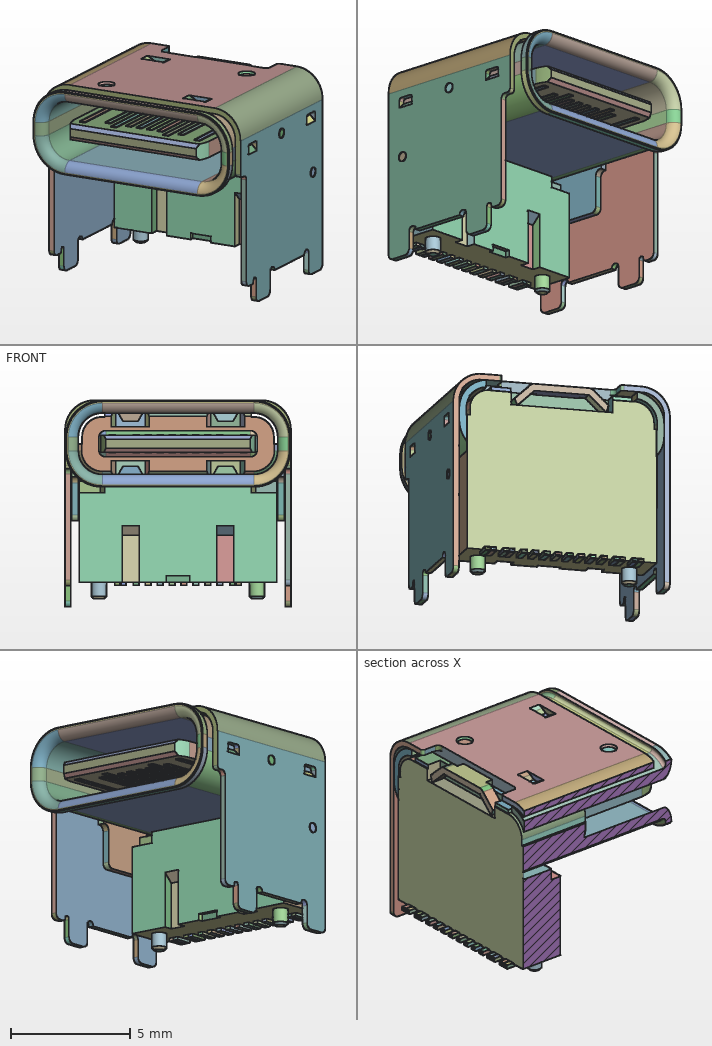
import math

import cadquery as cq


OVERLAP = 0.02
CUT_MARGIN = 1.0

SHELL_Z = 5.8
OPENING_WIDTH = 8.34
OPENING_HEIGHT = 2.56
STRAIGHT_SIDE = 0.58
SHELL_WALL = 0.3
TUBE_TOP = SHELL_Z + OPENING_HEIGHT / 2 + SHELL_WALL
TUBE_INNER_TOP = SHELL_Z + OPENING_HEIGHT / 2
TUBE_INNER_BOTTOM = SHELL_Z - OPENING_HEIGHT / 2
TUBE_BOTTOM = TUBE_INNER_BOTTOM - SHELL_WALL
TUBE_HALF_WIDTH = OPENING_WIDTH / 2 + SHELL_WALL
SHELL_REAR = 8.0
LIP_OFFSET = 0.53
LIP_THICKNESS = 0.33
LIP_ROLL = 0.43
LIP_EDGE = 0.04
LIP_BACK_FILLET = 0.14
EAR_FRONT, EAR_REAR = 4.5, 7.0
EAR_BOTTOM = 2.57
EAR_STEP_Z = 4.42
EAR_ROOT_FRONT = 4.2
EAR_RADIUS = 0.25

COVER_HALF_WIDTH = 9.47 / 2
COVER_TOP = 7.63
COVER_SHEET = 0.25
COVER_BEND = 1.25
COVER_FRONT, COVER_REAR = 0.95, 8.0
SIDE_FRONT = 1.45
STEP_Z = 4.75
LEG_BOTTOM = -1.03
SIDE_BOTTOM = -0.03
TOE_BOTTOM = -0.15
FRONT_LEG = (2.29, 3.5)
REAR_LEG_FRONT = 6.8
LEG_RADIUS = 0.25
RELIEF_RADIUS = 0.19

HOUSING_HALF_WIDTH = 4.14
HOUSING_FRONT = 6.0
HOUSING_REAR = 8.041
INSERT_FRONT = 4.6
INSERT_GAP = 0.15
INSERT_FULL_HALF_WIDTH = 3.07

TONGUE_TIP = 0.2
TONGUE_HALF_WIDTH = 3.24
TONGUE_HALF_HEIGHT = 0.35
TONGUE_TIP_HALF_WIDTH = 3.02
TONGUE_TIP_HALF_HEIGHT = 0.18
TONGUE_BEVEL_LENGTH = 0.16
TONGUE_CORNER_LENGTH = 0.7
TONGUE_BASE_HALF_WIDTH = 3.32
TONGUE_BASE_HALF_HEIGHT = 0.55
TONGUE_BASE_FRONT = 4.0

CONTACT_WIDTH = 0.25
PIN_END = 8.41
PIN_BOTTOM, PIN_TOP = -0.13, 0.05

CUTOUT_HALF_WIDTH = 2.59
CUTOUT_FRONT = 7.12
CUTOUT_RADIUS = 0.2
ROOF_GAP_HALF_WIDTH = 3.3
PLUG_GAP_HALF_WIDTH, PLUG_GAP_FRONT = 2.22, 7.35
TAB_NECK_HALF_WIDTH = 0.95
TAB_FRONT = 7.45
TAB_FLAT_HALF_WIDTH = 1.3
TAB_HALF_WIDTH = 2.06
TAB_DROP = 0.7
TAB_BEND_RADIUS = 0.35

STEP_OUTER_RADIUS = 0.15
STEP_INNER_RADIUS = 0.2
TOE_RELIEF_RADIUS = 0.12
TOE_FRONT_RADIUS = 0.25
TOE_REAR_RADIUS = 0.1
CUTOUT_EDGE_RADIUS = 0.12
WINDOW_CENTRES_Y = (2.0, 7.0)
WINDOW_WIDTH = 0.72
WINDOW_BOTTOM, WINDOW_TAB_TOP, WINDOW_TOP = 5.59, 5.83, 6.03
WINDOW_CORNER = 0.12
TOP_MARK_X = 2.18
TOP_MARK_Y = (1.825, 6.045)
STRIP_LENGTH = 0.52
STRIP_STEPS = ((0.55, 0), (0.36, 0.09), (0.12, 0.24))
DIMPLE_DIAMETER, DIMPLE_FLOOR, DIMPLE_DEPTH = 0.7, 0.58, 0.1
SIDE_DIMPLES = ((4.5, 5.79), (7.2, 3.39))
SIDE_DIMPLE_DIAMETER, SIDE_DIMPLE_DEPTH = 0.41, 0.03

SHOULDER_FRONT_X, SHOULDER_REAR_X = 3.06, 3.25
SHOULDER_Z, SHOULDER_DEPTH = 3.74, 0.5
SLOT_X, SLOT_WIDTH = 1.985, 0.71
SLOT_FLAT_TOP, SLOT_TOP, SLOT_DEPTH = 1.97, 2.36, 0.4
KEY_WIDTH, KEY_HEIGHT, KEY_DEPTH = 0.98, 0.28, 0.2
POST_X, POST_Y, POST_DIAMETER = 3.31, 6.78, 0.64
POST_BOTTOM, POST_CHAMFER = -0.7, 0.11
NOTCH_FRONT_X = (1.21, 2.8)
NOTCH_REAR_X = (1.38, 2.61)
NOTCH_FLOOR = 0.72
NOTCH_DEPTH = 0.5
SPRING_X, SPRING_BASE, SPRING_CREST, SPRING_HEIGHT = 1.99, 1.04, 0.62, 0.34

TONGUE_BASE_RADIUS = 0.3
TONGUE_CORNER_BULGE = 0.65
PAD_HEIGHT = 0.03
LONG_PADS, LONG_PAD_FRONT = (1.25, 2.75), 0.75
SHORT_PADS, SHORT_PAD_FRONT = (0.25, 0.75, 1.75), 1.15
PAD_REAR = 3.9

SIGNAL_PINS = (0.25, 0.75, 1.25, 1.75)
POWER_PAIRS = (2.41, 3.22)
TWIN_PIN_WIDTH, TWIN_PIN_SPACING = 0.225, 0.255
PIN_FRONT = 7.6
PIN_CHAMFER = 0.04


def box(x_range, y_range, z_range):
    """Axis-aligned box between pairs of limits."""
    size = [high - low for low, high in (x_range, y_range, z_range)]
    corner = (x_range[0], y_range[0], z_range[0])
    return cq.Workplane("XY").box(*size, centered=False).translate(corner)


def centred_box(centre_x, width, y_range, z_range):
    """Box of a given X width about a centre."""
    return box((centre_x - width / 2, centre_x + width / 2), y_range, z_range)


def xz_prism(points, y_range):
    """Polygon in X and Z swept between two Y limits."""
    profile = cq.Workplane("XZ", origin=(0, y_range[0], 0)).polyline(points).close()
    return profile.extrude(y_range[0] - y_range[1])


def yz_prism(points, x_range):
    """Polygon in Y and Z swept between two X limits."""
    profile = cq.Workplane("YZ", origin=(x_range[0], 0, 0)).polyline(points).close()
    return profile.extrude(x_range[1] - x_range[0])


def tube_body(offset, y_range):
    """Solid with the rounded outline of the opening grown by an offset."""
    width = OPENING_WIDTH + 2 * offset
    height = OPENING_HEIGHT + 2 * offset
    corner = (height - STRAIGHT_SIDE) / 2
    body = box((-width / 2, width / 2), y_range, (SHELL_Z - height / 2, SHELL_Z + height / 2))
    return body.edges("|Y").fillet(corner)


def make_shell():
    """Tube with a rolled lip, a rear tab in its roof and side ears."""
    tube = tube_body(SHELL_WALL, (0, SHELL_REAR))
    lip = tube_body(LIP_OFFSET, (0, LIP_THICKNESS)).faces("<Y").edges().chamfer(LIP_EDGE)
    shell = tube.union(lip)
    tube_outline = cq.selectors.BoxSelector(
        (-TUBE_HALF_WIDTH - OVERLAP, LIP_THICKNESS - OVERLAP, TUBE_BOTTOM - OVERLAP),
        (TUBE_HALF_WIDTH + OVERLAP, LIP_THICKNESS + OVERLAP, TUBE_TOP + OVERLAP),
        boundingbox=True,
    )
    shell = shell.edges(tube_outline).fillet(LIP_BACK_FILLET)
    shell = shell.cut(tube_body(0, (-CUT_MARGIN, SHELL_REAR + CUT_MARGIN)))
    mouth_outline = cq.selectors.BoxSelector(
        (-OPENING_WIDTH / 2 - OVERLAP, -OVERLAP, TUBE_INNER_BOTTOM - OVERLAP),
        (OPENING_WIDTH / 2 + OVERLAP, OVERLAP, TUBE_INNER_TOP + OVERLAP),
        boundingbox=True,
    )
    shell = shell.edges(mouth_outline).fillet(LIP_ROLL)
    return add_ears(add_rear_tab(shell))


def add_rear_tab(shell):
    """Open the rear of the tube roof, leaving a tab with drooping ends."""
    roof = (TUBE_TOP - TAB_DROP - SHELL_WALL, TUBE_TOP + CUT_MARGIN)
    gap_width = 2 * ROOF_GAP_HALF_WIDTH
    shell = shell.cut(centred_box(0, gap_width, (CUTOUT_FRONT, SHELL_REAR + CUT_MARGIN), roof))
    slope = TAB_DROP / (TAB_HALF_WIDTH - TAB_FLAT_HALF_WIDTH)
    inner_flat = TAB_FLAT_HALF_WIDTH - SHELL_WALL * math.tan(math.atan(slope) / 2)
    inner_end = inner_flat + TAB_DROP / slope
    right_half = [
        (TAB_FLAT_HALF_WIDTH, TUBE_TOP),
        (TAB_HALF_WIDTH, TUBE_TOP - TAB_DROP),
        (inner_end, TUBE_TOP - TAB_DROP - SHELL_WALL),
        (inner_flat, TUBE_TOP - SHELL_WALL),
    ]
    left_half = [(-x, z) for x, z in reversed(right_half)]
    tab = xz_prism(right_half + left_half, (TAB_FRONT, SHELL_REAR))
    bend = cq.selectors.BoxSelector(
        (-TAB_FLAT_HALF_WIDTH - OVERLAP, 0, TUBE_TOP - OVERLAP),
        (TAB_FLAT_HALF_WIDTH + OVERLAP, 2 * SHELL_REAR, TUBE_TOP + OVERLAP),
    )
    tab = tab.edges("|Y").edges(bend).fillet(TAB_BEND_RADIUS)
    neck = box(
        (-TAB_NECK_HALF_WIDTH, TAB_NECK_HALF_WIDTH),
        (CUTOUT_FRONT - OVERLAP, TAB_FRONT + OVERLAP),
        (TUBE_TOP - SHELL_WALL, TUBE_TOP),
    )
    return shell.union(tab).union(neck)


def add_ears(shell):
    """Straight flanges hanging from both sides of the tube."""
    for side in (-1, 1):
        x_limits = sorted((side * OPENING_WIDTH / 2, side * TUBE_HALF_WIDTH))
        ear = yz_prism(
            [
                (EAR_ROOT_FRONT, SHELL_Z),
                (EAR_ROOT_FRONT, EAR_STEP_Z),
                (EAR_FRONT, EAR_STEP_Z),
                (EAR_FRONT, EAR_BOTTOM),
                (EAR_REAR, EAR_BOTTOM),
                (EAR_REAR, SHELL_Z),
            ],
            x_limits,
        )
        ear = ear.edges("|X and <Z").fillet(EAR_RADIUS)
        step = cq.selectors.BoxSelector(
            (x_limits[0], EAR_FRONT - OVERLAP, EAR_STEP_Z - OVERLAP),
            (x_limits[1], EAR_FRONT + OVERLAP, EAR_STEP_Z + OVERLAP),
        )
        ear = ear.edges(step).fillet(EAR_RADIUS)
        shell = shell.union(ear)
    return shell


def relief(centre_y, radius):
    """Round relief across both side walls, open downwards."""
    width = 2 * COVER_HALF_WIDTH + 2 * CUT_MARGIN
    hole = cq.Workplane("YZ", origin=(-width / 2, centre_y, SIDE_BOTTOM)).circle(radius)
    return hole.extrude(width)


def side_silhouette():
    """Side profile of the cover with its legs, swept across the full width."""
    x_limits = (-COVER_HALF_WIDTH - CUT_MARGIN, COVER_HALF_WIDTH + CUT_MARGIN)
    toe_rear = FRONT_LEG[0] - 2 * TOE_RELIEF_RADIUS
    wall = yz_prism(
        [
            (COVER_FRONT, COVER_TOP),
            (COVER_FRONT, STEP_Z),
            (SIDE_FRONT, STEP_Z),
            (SIDE_FRONT, TOE_BOTTOM),
            (toe_rear, TOE_BOTTOM),
            (toe_rear, SIDE_BOTTOM),
            (COVER_REAR, SIDE_BOTTOM),
            (COVER_REAR, COVER_TOP),
        ],
        x_limits,
    )
    wall = wall.edges("|X and <Z").edges("<Y").fillet(TOE_FRONT_RADIUS)
    wall = wall.edges("|X and <Z").edges(">Y").fillet(TOE_REAR_RADIUS)
    for corner_y, radius in ((COVER_FRONT, STEP_OUTER_RADIUS), (SIDE_FRONT, STEP_INNER_RADIUS)):
        near_corner = cq.selectors.BoxSelector(
            (x_limits[0], corner_y - OVERLAP, STEP_Z - OVERLAP),
            (x_limits[1], corner_y + OVERLAP, STEP_Z + OVERLAP),
        )
        wall = wall.edges(near_corner).fillet(radius)
    wall = wall.cut(relief(FRONT_LEG[0] - TOE_RELIEF_RADIUS, TOE_RELIEF_RADIUS))
    wall = wall.cut(relief(FRONT_LEG[1] + RELIEF_RADIUS, RELIEF_RADIUS))
    wall = wall.cut(relief(REAR_LEG_FRONT - RELIEF_RADIUS, RELIEF_RADIUS))
    for y_limits in (FRONT_LEG, (REAR_LEG_FRONT, COVER_REAR)):
        leg = box(x_limits, y_limits, (LEG_BOTTOM, STEP_Z))
        wall = wall.union(leg.edges("|X and <Z").fillet(LEG_RADIUS))
    return wall


def make_cover():
    """Bent sheet with legs, marks, windows and a rear cutout."""
    inner_half_width = COVER_HALF_WIDTH - COVER_SHEET
    y_limits = (COVER_FRONT, COVER_REAR)
    outer = box((-COVER_HALF_WIDTH, COVER_HALF_WIDTH), y_limits, (LEG_BOTTOM, COVER_TOP))
    inner = box(
        (-inner_half_width, inner_half_width),
        (COVER_FRONT - CUT_MARGIN, COVER_REAR + CUT_MARGIN),
        (LEG_BOTTOM - CUT_MARGIN, COVER_TOP - COVER_SHEET),
    )
    outer = outer.edges("|Y and >Z").fillet(COVER_BEND)
    inner = inner.edges("|Y and >Z").fillet(COVER_BEND - COVER_SHEET)
    cover = outer.cut(inner).intersect(side_silhouette())
    return cut_rear_opening(cover)


def cut_rear_opening(cover):
    """Notch in the roof of the cover at its rear edge."""
    opening = box(
        (-CUTOUT_HALF_WIDTH, CUTOUT_HALF_WIDTH),
        (CUTOUT_FRONT, COVER_REAR + CUT_MARGIN),
        (COVER_TOP - 2 * COVER_SHEET, COVER_TOP + CUT_MARGIN),
    )
    cover = cover.cut(opening.edges("|Z and <Y").fillet(CUTOUT_RADIUS))
    mouth_corners = cq.selectors.BoxSelector(
        (-CUTOUT_HALF_WIDTH - OVERLAP, COVER_REAR - OVERLAP, COVER_TOP - COVER_SHEET),
        (CUTOUT_HALF_WIDTH + OVERLAP, COVER_REAR + OVERLAP, COVER_TOP),
    )
    return cover.edges("|Z").edges(mouth_corners).fillet(CUTOUT_EDGE_RADIUS)


def cut_cover_marks(part):
    """Dimples, pressed strips and side windows in the cover."""
    front_y, rear_y = TOP_MARK_Y
    for x, y in ((-TOP_MARK_X, front_y), (TOP_MARK_X, rear_y)):
        dimple = cq.Workplane("XY", origin=(x, y, COVER_TOP)).circle(DIMPLE_DIAMETER / 2)
        dimple = dimple.workplane(offset=-DIMPLE_DEPTH).circle(DIMPLE_FLOOR / 2).loft()
        part = part.cut(dimple)
    for x, y in ((TOP_MARK_X, front_y), (-TOP_MARK_X, rear_y)):
        right = [(x + half_width, COVER_TOP - depth) for half_width, depth in STRIP_STEPS]
        left = [(x - half_width, COVER_TOP - depth) for half_width, depth in reversed(STRIP_STEPS)]
        strip = xz_prism(right + left, (y - STRIP_LENGTH / 2, y + STRIP_LENGTH / 2))
        part = part.cut(strip)
    for side in (-1, 1):
        face_x = side * COVER_HALF_WIDTH
        floor_x = face_x - side * COVER_SHEET
        for y in WINDOW_CENTRES_Y:
            window = xz_prism(
                [
                    (face_x, WINDOW_BOTTOM),
                    (floor_x, WINDOW_TAB_TOP),
                    (floor_x, WINDOW_TOP),
                    (face_x, WINDOW_TOP),
                ],
                (y - WINDOW_WIDTH / 2, y + WINDOW_WIDTH / 2),
            )
            part = part.cut(window.edges("|X and >Z").fillet(WINDOW_CORNER))
        for y, z in SIDE_DIMPLES:
            mark = cq.Workplane("YZ", origin=(face_x, y, z)).circle(SIDE_DIMPLE_DIAMETER / 2)
            part = part.cut(mark.extrude(-side * SIDE_DIMPLE_DEPTH))
    return part


def make_housing():
    """Body below and behind the shell, with slots and locating posts."""
    half = HOUSING_HALF_WIDTH
    depth = (HOUSING_FRONT, HOUSING_REAR)
    housing = box((-half, half), depth, (0, TUBE_BOTTOM + OVERLAP))
    back_plate = box((-half, half), (SHELL_REAR - OVERLAP, HOUSING_REAR), (0, SHELL_Z))
    housing = housing.union(back_plate)
    housing = housing.cut(centred_box(0, KEY_WIDTH, (0, HOUSING_FRONT + KEY_DEPTH), (0, KEY_HEIGHT)))
    slot_back = HOUSING_FRONT + SLOT_DEPTH
    for side in (-1, 1):
        slot_x = side * SLOT_X
        slot = yz_prism(
            [
                (HOUSING_FRONT, 0),
                (HOUSING_FRONT, SLOT_TOP),
                (slot_back, SLOT_FLAT_TOP),
                (slot_back, 0),
            ],
            (slot_x - SLOT_WIDTH / 2, slot_x + SLOT_WIDTH / 2),
        )
        outside_x = side * (half + CUT_MARGIN)
        shoulder = cq.Workplane("XY", origin=(0, 0, SHOULDER_Z)).polyline(
            [
                (side * SHOULDER_FRONT_X, HOUSING_FRONT),
                (side * SHOULDER_REAR_X, HOUSING_FRONT + SHOULDER_DEPTH),
                (outside_x, HOUSING_FRONT + SHOULDER_DEPTH),
                (outside_x, HOUSING_FRONT),
            ]
        )
        shoulder = shoulder.close().extrude(TUBE_INNER_BOTTOM - SHOULDER_Z)
        post = cq.Workplane("XY", origin=(side * POST_X, POST_Y, POST_BOTTOM))
        post = post.circle(POST_DIAMETER / 2).extrude(OVERLAP - POST_BOTTOM)
        post = post.faces("<Z").edges().chamfer(POST_CHAMFER)
        housing = housing.cut(slot).cut(shoulder).union(post)
    return housing


def make_insert():
    """Plug that closes the tube behind the tongue, with spring notches."""
    plug = tube_body(OVERLAP, (INSERT_FRONT, SHELL_REAR))
    plug = plug.faces("<Y").edges().chamfer(INSERT_GAP)
    core = tube_body(-INSERT_GAP, (INSERT_FRONT, HOUSING_REAR))
    for side in (-1, 1):
        upper_corner = box(
            sorted((side * INSERT_FULL_HALF_WIDTH, side * (TUBE_HALF_WIDTH + CUT_MARGIN))),
            (INSERT_FRONT, SHELL_REAR),
            (SHELL_Z, TUBE_TOP),
        )
        plug = plug.cut(upper_corner)
    plug = plug.union(core)
    tab_room = (TUBE_TOP - TAB_DROP - SHELL_WALL, TUBE_TOP)
    gap_width = 2 * PLUG_GAP_HALF_WIDTH
    plug = plug.cut(centred_box(0, gap_width, (PLUG_GAP_FRONT, HOUSING_REAR + CUT_MARGIN), tab_room))
    for side in (-1, 1):
        for direction in (-1, 1):
            plug = plug.cut(spring_notch(side, direction)).union(spring(side, direction))
    return plug


def spring_notch(side, direction):
    """Tapered notch in the plug above (1) or below (-1) the tongue."""
    near_front, far_front = (side * x for x in NOTCH_FRONT_X)
    near_rear, far_rear = (side * x for x in NOTCH_REAR_X)
    notch_rear = INSERT_FRONT + NOTCH_DEPTH
    plan = cq.Workplane("XY", origin=(0, 0, SHELL_Z + direction * NOTCH_FLOOR)).polyline(
        [
            (near_front, INSERT_FRONT),
            (far_front, INSERT_FRONT),
            (far_rear, notch_rear),
            (near_rear, notch_rear),
        ]
    )
    return plan.close().extrude(direction * (OPENING_HEIGHT / 2 - NOTCH_FLOOR))


def spring(side, direction):
    """Spring crest pressed in from the tube wall inside a notch."""
    x = side * SPRING_X
    wall_z = SHELL_Z + direction * (OPENING_HEIGHT / 2 + OVERLAP)
    crest_z = SHELL_Z + direction * (OPENING_HEIGHT / 2 - SPRING_HEIGHT)
    rear = INSERT_FRONT + NOTCH_DEPTH + OVERLAP
    return xz_prism(
        [
            (x - SPRING_BASE / 2, wall_z),
            (x + SPRING_BASE / 2, wall_z),
            (x + SPRING_CREST / 2, crest_z),
            (x - SPRING_CREST / 2, crest_z),
        ],
        (rear - NOTCH_DEPTH / 2, rear),
    )


def make_tongue():
    """Bevelled tongue with curved corners, a thicker root and contact pads."""
    root = INSERT_FRONT + OVERLAP
    corner_y = TONGUE_TIP + TONGUE_CORNER_LENGTH
    bulge_x = TONGUE_TIP_HALF_WIDTH + TONGUE_CORNER_BULGE * (TONGUE_HALF_WIDTH - TONGUE_TIP_HALF_WIDTH)
    bulge_y = TONGUE_TIP + TONGUE_CORNER_LENGTH / 2
    plan = (
        cq.Workplane("XY", origin=(0, 0, SHELL_Z - TONGUE_HALF_HEIGHT))
        .moveTo(-TONGUE_TIP_HALF_WIDTH, TONGUE_TIP)
        .lineTo(TONGUE_TIP_HALF_WIDTH, TONGUE_TIP)
        .threePointArc((bulge_x, bulge_y), (TONGUE_HALF_WIDTH, corner_y))
        .lineTo(TONGUE_HALF_WIDTH, root)
        .lineTo(-TONGUE_HALF_WIDTH, root)
        .lineTo(-TONGUE_HALF_WIDTH, corner_y)
        .threePointArc((-bulge_x, bulge_y), (-TONGUE_TIP_HALF_WIDTH, TONGUE_TIP))
        .close()
    )
    bevel_end = TONGUE_TIP + TONGUE_BEVEL_LENGTH
    side_profile = [
        (TONGUE_TIP, SHELL_Z - TONGUE_TIP_HALF_HEIGHT),
        (TONGUE_TIP, SHELL_Z + TONGUE_TIP_HALF_HEIGHT),
        (bevel_end, SHELL_Z + TONGUE_HALF_HEIGHT),
        (root, SHELL_Z + TONGUE_HALF_HEIGHT),
        (root, SHELL_Z - TONGUE_HALF_HEIGHT),
        (bevel_end, SHELL_Z - TONGUE_HALF_HEIGHT),
    ]
    blank = yz_prism(side_profile, (-TONGUE_HALF_WIDTH, TONGUE_HALF_WIDTH))
    tongue = plan.extrude(2 * TONGUE_HALF_HEIGHT).intersect(blank)
    base = box(
        (-TONGUE_BASE_HALF_WIDTH, TONGUE_BASE_HALF_WIDTH),
        (TONGUE_BASE_FRONT, root),
        (SHELL_Z - TONGUE_BASE_HALF_HEIGHT, SHELL_Z + TONGUE_BASE_HALF_HEIGHT),
    )
    base = base.edges("|Y").fillet(TONGUE_BASE_RADIUS).faces("<Y").edges()
    tongue = tongue.union(base.chamfer(TONGUE_BASE_HALF_HEIGHT - TONGUE_HALF_HEIGHT))
    for offsets, front in ((LONG_PADS, LONG_PAD_FRONT), (SHORT_PADS, SHORT_PAD_FRONT)):
        pad_height = TONGUE_HALF_HEIGHT + PAD_HEIGHT
        for offset in offsets:
            for x in (-offset, offset):
                z_limits = (SHELL_Z - pad_height, SHELL_Z + pad_height)
                tongue = tongue.union(centred_box(x, CONTACT_WIDTH, (front, PAD_REAR), z_limits))
    return tongue


def make_pins():
    """Solder tails below the rear edge of the housing."""
    sizes = [(x, CONTACT_WIDTH) for x in SIGNAL_PINS]
    for centre in POWER_PAIRS:
        sizes.append((centre - TWIN_PIN_SPACING / 2, TWIN_PIN_WIDTH))
        sizes.append((centre + TWIN_PIN_SPACING / 2, TWIN_PIN_WIDTH))
    pins = []
    for offset, width in sizes:
        for x in (-offset, offset):
            pin = centred_box(x, width, (PIN_FRONT, PIN_END), (PIN_BOTTOM, PIN_TOP))
            pins.append(pin.edges("|X and >Y").chamfer(PIN_CHAMFER))
    return pins


result = make_shell().union(make_cover())
result = cut_cover_marks(result)
result = result.union(make_housing()).union(make_insert()).union(make_tongue())
for tail in make_pins():
    result = result.union(tail)